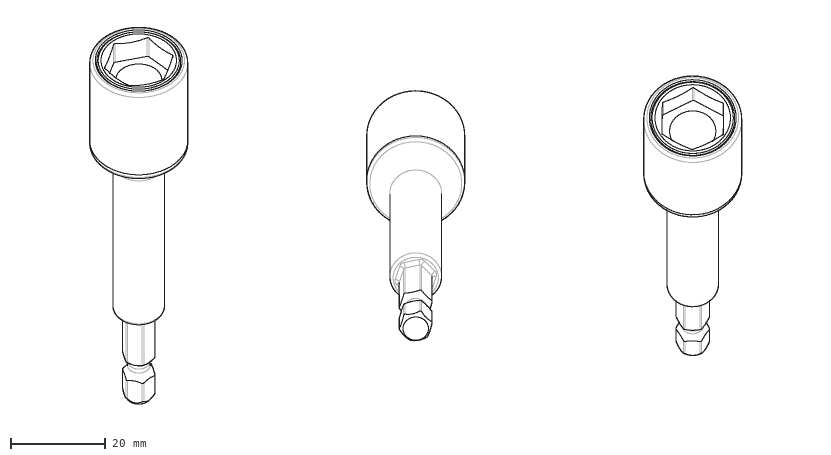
import cadquery as cq
import math


TOTAL_HEIGHT = 100.0
HEAD_RADIUS = 10.4
HEX_CORNER_FILLET = 0.4

SLEEVE_BOTTOM = 76.2
SLEEVE_BORE_RADIUS = 8.9
SLEEVE_TOP_FILLET = 0.7
RIM_CHAMFER = 0.3

COLLAR_FILLET = 0.8
FLARE_RADIUS = 5.2

SHAFT_RADIUS = 5.5
SHAFT_TOP = 69.5
SHAFT_BOTTOM = 26.1
SHAFT_BOTTOM_FILLET = 0.7

SHANK_FLATS = 6.3
SHANK_ROOT_FILLET = 0.9
GROOVE_CENTER = 9.6
GROOVE_NECK_LENGTH = 1.2
GROOVE_NECK_RADIUS = 2.4
GROOVE_ARC_RADIUS = 2.4
SHANK_TIP_RADIUS = 2.7
SHANK_TIP_SLOPE = 60.0
ROOT_SEARCH_MARGIN = 0.1

SOCKET_FLATS = 13.0
SOCKET_DEPTH = 5.9
SOCKET_MOUTH_RADIUS = 8.0
SOCKET_MOUTH_SLOPE = 30.0

MAGNET_RADIUS = 4.9
MAGNET_THICKNESS = 5.0

SOCKET_FLOOR = TOTAL_HEIGHT - SOCKET_DEPTH
MAGNET_BOTTOM = SOCKET_FLOOR - MAGNET_THICKNESS


def revolve(profile):
    """Turn a closed profile, drawn as (radius, height), about the Z axis."""
    return profile.close().revolve(360, (0, 0), (0, 1))


def hex_prism(across_flats, bottom, top):
    """Hexagonal prism with slightly rounded corners, two of them on the X axis."""
    corner_diameter = across_flats / math.cos(math.radians(30))
    prism = cq.Workplane("XY").workplane(offset=bottom).polygon(6, corner_diameter).extrude(top - bottom)
    return prism.edges("|Z").fillet(HEX_CORNER_FILLET)


def make_turned_head_and_shaft():
    """Solid of revolution from the bottom of the shaft to the top of the head."""
    flare_center_radius = SHAFT_RADIUS + FLARE_RADIUS
    fillet_center_radius = HEAD_RADIUS - COLLAR_FILLET
    center_distance = FLARE_RADIUS + COLLAR_FILLET
    offset = flare_center_radius - fillet_center_radius
    lean = math.asin(offset / center_distance)
    fillet_center_height = SHAFT_TOP + center_distance * math.cos(lean)

    def flare_point(angle):
        return (
            flare_center_radius - FLARE_RADIUS * math.sin(angle),
            SHAFT_TOP + FLARE_RADIUS * math.cos(angle),
        )

    def fillet_point(angle):
        return (
            fillet_center_radius + COLLAR_FILLET * math.sin(angle),
            fillet_center_height - COLLAR_FILLET * math.cos(angle),
        )

    quarter_turn = math.pi / 2
    profile = (
        cq.Workplane("XZ")
        .moveTo(0, SHAFT_BOTTOM)
        .lineTo(SHAFT_RADIUS, SHAFT_BOTTOM)
        .lineTo(SHAFT_RADIUS, SHAFT_TOP)
        .threePointArc(flare_point((lean + quarter_turn) / 2), flare_point(lean))
        .threePointArc(fillet_point((lean + quarter_turn) / 2), fillet_point(quarter_turn))
        .lineTo(HEAD_RADIUS, SLEEVE_BOTTOM)
        .lineTo(SLEEVE_BORE_RADIUS, SLEEVE_BOTTOM)
        .lineTo(SLEEVE_BORE_RADIUS, TOTAL_HEIGHT - RIM_CHAMFER)
        .lineTo(SLEEVE_BORE_RADIUS - RIM_CHAMFER, TOTAL_HEIGHT)
        .lineTo(0, TOTAL_HEIGHT)
    )
    return revolve(profile).faces("<Z").edges().fillet(SHAFT_BOTTOM_FILLET)


def make_groove_cutter():
    """Ring that leaves a straight neck between two rounded shoulders."""
    half_neck = GROOVE_NECK_LENGTH / 2
    outer_radius = GROOVE_NECK_RADIUS + GROOVE_ARC_RADIUS
    mid_arc = math.radians(45)
    arc_inset = GROOVE_ARC_RADIUS * (1 - math.cos(mid_arc))
    arc_rise = GROOVE_ARC_RADIUS * math.sin(mid_arc)
    lower = GROOVE_CENTER - half_neck
    upper = GROOVE_CENTER + half_neck
    profile = (
        cq.Workplane("XZ")
        .moveTo(outer_radius, lower - GROOVE_ARC_RADIUS)
        .threePointArc((GROOVE_NECK_RADIUS + arc_inset, lower - arc_rise), (GROOVE_NECK_RADIUS, lower))
        .lineTo(GROOVE_NECK_RADIUS, upper)
        .threePointArc(
            (GROOVE_NECK_RADIUS + arc_inset, upper + arc_rise),
            (outer_radius, upper + GROOVE_ARC_RADIUS),
        )
    )
    return revolve(profile)


def make_tip_cone():
    """Cone that trims the corners of the shank tip and is wider than the shank above them."""
    top_radius = SHANK_TIP_RADIUS + SHAFT_BOTTOM / math.tan(math.radians(SHANK_TIP_SLOPE))
    profile = (
        cq.Workplane("XZ")
        .moveTo(0, 0)
        .lineTo(SHANK_TIP_RADIUS, 0)
        .lineTo(top_radius, SHAFT_BOTTOM)
        .lineTo(0, SHAFT_BOTTOM)
    )
    return revolve(profile)


def make_socket_cutter():
    """Hex socket with a conical lead-in at its mouth."""
    cone_depth = SOCKET_MOUTH_RADIUS * math.tan(math.radians(SOCKET_MOUTH_SLOPE))
    lead_in = revolve(
        cq.Workplane("XZ")
        .moveTo(0, TOTAL_HEIGHT - cone_depth)
        .lineTo(SOCKET_MOUTH_RADIUS, TOTAL_HEIGHT)
        .lineTo(0, TOTAL_HEIGHT)
    )
    socket = hex_prism(SOCKET_FLATS, SOCKET_FLOOR, TOTAL_HEIGHT).rotate((0, 0, 0), (0, 0, 1), 30)
    return socket.union(lead_in)


def make_driver():
    """Shank, shaft and head in one piece."""
    shank = hex_prism(SHANK_FLATS, 0, SHAFT_BOTTOM)
    body = make_turned_head_and_shaft().union(shank)
    half_width = SHAFT_RADIUS - SHAFT_BOTTOM_FILLET - ROOT_SEARCH_MARGIN
    root_edges = cq.selectors.BoxSelector(
        (-half_width, -half_width, SHAFT_BOTTOM - ROOT_SEARCH_MARGIN),
        (half_width, half_width, SHAFT_BOTTOM + ROOT_SEARCH_MARGIN),
        boundingbox=True,
    )
    body = body.edges(root_edges).fillet(SHANK_ROOT_FILLET)
    tip_waste = shank.cut(make_tip_cone())
    return body.cut(tip_waste).cut(make_groove_cutter()).cut(make_socket_cutter()).cut(make_magnet())


def make_sleeve():
    """Ring around the head, resting on the collar."""
    profile = (
        cq.Workplane("XZ")
        .moveTo(SLEEVE_BORE_RADIUS, SLEEVE_BOTTOM)
        .lineTo(HEAD_RADIUS, SLEEVE_BOTTOM)
        .lineTo(HEAD_RADIUS, TOTAL_HEIGHT - SLEEVE_TOP_FILLET)
        .radiusArc((HEAD_RADIUS - SLEEVE_TOP_FILLET, TOTAL_HEIGHT), -SLEEVE_TOP_FILLET)
        .lineTo(SLEEVE_BORE_RADIUS + RIM_CHAMFER, TOTAL_HEIGHT)
        .lineTo(SLEEVE_BORE_RADIUS, TOTAL_HEIGHT - RIM_CHAMFER)
    )
    return revolve(profile)


def make_magnet():
    """Disc whose top is level with the socket floor."""
    return cq.Workplane("XY").workplane(offset=MAGNET_BOTTOM).circle(MAGNET_RADIUS).extrude(MAGNET_THICKNESS)


driver = make_driver()
sleeve = make_sleeve()
magnet = make_magnet()

result = cq.Compound.makeCompound([driver.val(), sleeve.val(), magnet.val()])